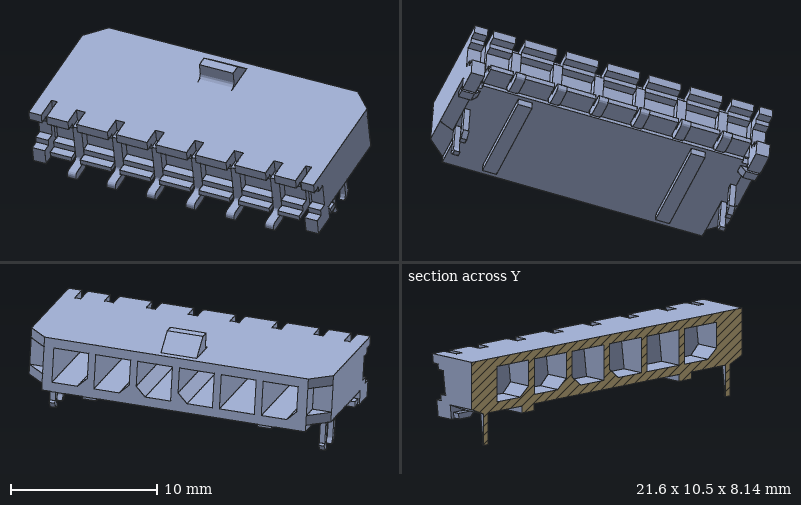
import cadquery as cq

TILT = 10.0

HOUSING_WIDTH = 21.64
HOUSING_DEPTH = 9.875
HOUSING_HEIGHT = 3.87
END_WALL_HEIGHT = 3.38
CORNER_CHAMFER = 1.37
HALF_WIDTH = HOUSING_WIDTH / 2
CORE_HALF_WIDTH = HALF_WIDTH - CORNER_CHAMFER

NOTCH_TOP = -0.71
NOTCH_HEIGHT = 1.96
NOTCH_BOTTOM = NOTCH_TOP - NOTCH_HEIGHT
NOTCH_DEPTH = 1.4

LIP_THICKNESS = 0.68
STEP_DEPTH = 0.62
RECESS_TOP = -1.06
RECESS_BOTTOM = -2.78
RECESS_DEPTH = 1.25
LEDGE_TOP = -3.22
LEDGE_BOTTOM = -3.6
LEDGE_DEPTH = 1.5

CIRCUITS = 6
PITCH = 3.0
PIN_X = [(i - (CIRCUITS - 1) / 2) * PITCH for i in range(CIRCUITS)]

CAVITY_SIZE = 2.5
CAVITY_DEPTH = 7.5
CAVITY_CENTRE = -1.93
CAVITY_CHAMFER = 0.68
CAVITY_KEYS = ["left", None, "right", "right", "left", "left"]

PIN_SIZE = 0.66
PIN_TOP = -0.92
PIN_FRONT = 0.6
PIN_BEND_RADIUS = 0.28
TAIL_TIP = -0.86
TAIL_TOP = -3.82
PIN_SLOT_DEPTH = 1.35

CLIP_THICKNESS = 0.41
CLIP_INNER_X = CORE_HALF_WIDTH
CLIP_OUTER_X = CLIP_INNER_X + CLIP_THICKNESS
CLIP_SLOT_DEPTH = 1.65
CLIP_TAB_DEPTH = 0.67
CLIP_TAB_START = 2.09
CLIP_TAB_THICKNESS = 0.41
CLIP_TAB_REACH = 0.92

FRONT_LEG_TOE_FACE = 4.54
REAR_LEG_TOE_FACE = 6.01
LEG_WIDTH = 0.4
LEG_BOTTOM = -6.425
SOLE_INSET = 0.14
BARB_REACH = 0.14
BARB_RISE = 0.14
BARB_TIP_Z = -5.965
TOE_REACH = 0.24
TOE_TIP_Z = -6.41
TOE_CURVE_TOP = -5.85
TOE_CURVE_INSET = 0.06
TOE_CURVE_Z = -6.14

LUG_DEPTH = 1.8
LUG_BOTTOM = -4.41
SKIRT_END = 6.55

RIB_WIDTH = 1.02
RIB_X = 6.28
RIB_FRONT = LUG_DEPTH
RIB_REAR = 9.05
RIB_BOTTOM = -4.36

LATCH_WIDTH = 2.56
LATCH_HEIGHT = 1.185
LATCH_REAR = 9.34
LATCH_CREST_REAR = 8.1
LATCH_CREST_FRONT = 7.38
LATCH_FILLET = 0.45


def block(x0, x1, y0, y1, z0, z1):
    """Box between two opposite corners."""
    return cq.Workplane("XY").box(x1 - x0, y1 - y0, z1 - z0, centered=False).translate((x0, y0, z0))


def side_extrusion(sketch, x0, x1):
    """Closed YZ outline extruded from x0 to x1."""
    return sketch.close().extrude(x1 - x0).translate((x0, 0, 0))


def both_ends(shape):
    """The shape and its mirror image at the other end."""
    return shape.union(shape.mirror("YZ"))


def housing_body():
    plan = [
        (-HALF_WIDTH, 0),
        (HALF_WIDTH, 0),
        (HALF_WIDTH, HOUSING_DEPTH - CORNER_CHAMFER),
        (CORE_HALF_WIDTH, HOUSING_DEPTH),
        (-CORE_HALF_WIDTH, HOUSING_DEPTH),
        (-HALF_WIDTH, HOUSING_DEPTH - CORNER_CHAMFER),
    ]
    upper = cq.Workplane("XY").polyline(plan).close().extrude(-END_WALL_HEIGHT)
    core = block(-CORE_HALF_WIDTH, CORE_HALF_WIDTH, 0, HOUSING_DEPTH, -HOUSING_HEIGHT, -END_WALL_HEIGHT)
    under_ledge = block(-CORE_HALF_WIDTH, CORE_HALF_WIDTH, 0, LEDGE_DEPTH, -HOUSING_HEIGHT, LEDGE_BOTTOM)
    return upper.union(core).cut(under_ledge).cut(front_steps()).cut(corner_notches())


def front_steps():
    """Steps and full-width recess cut into the front, below the top lip and above the ledge."""
    outline = [
        (0, -LIP_THICKNESS),
        (STEP_DEPTH, -LIP_THICKNESS),
        (STEP_DEPTH, RECESS_TOP),
        (RECESS_DEPTH, RECESS_TOP),
        (RECESS_DEPTH, RECESS_BOTTOM),
        (STEP_DEPTH, RECESS_BOTTOM),
        (STEP_DEPTH, LEDGE_TOP),
        (0, LEDGE_TOP),
    ]
    return side_extrusion(cq.Workplane("YZ").polyline(outline), -HALF_WIDTH, HALF_WIDTH)


def corner_notches():
    notch_front = HOUSING_DEPTH - NOTCH_DEPTH
    return both_ends(
        block(CORE_HALF_WIDTH, HALF_WIDTH, notch_front, HOUSING_DEPTH, NOTCH_BOTTOM, NOTCH_TOP)
    )


def end_feet():
    """Lug and sloped skirt under each end wall."""
    lug = block(CLIP_OUTER_X, HALF_WIDTH, 0, LUG_DEPTH, LUG_BOTTOM, LEDGE_TOP)
    skirt_outline = [
        (CLIP_INNER_X, -END_WALL_HEIGHT),
        (HALF_WIDTH, -END_WALL_HEIGHT),
        (CLIP_OUTER_X, -HOUSING_HEIGHT),
        (CLIP_INNER_X, -HOUSING_HEIGHT),
    ]
    skirt = cq.Workplane("XZ").polyline(skirt_outline).close().extrude(LUG_DEPTH - SKIRT_END)
    skirt = skirt.translate((0, LUG_DEPTH, 0))
    return both_ends(lug.union(skirt))


def standoff_ribs():
    half = RIB_WIDTH / 2
    return both_ends(block(RIB_X - half, RIB_X + half, RIB_FRONT, RIB_REAR, RIB_BOTTOM, -HOUSING_HEIGHT))


def latch():
    sketch = (
        cq.Workplane("YZ")
        .moveTo(LATCH_REAR, 0)
        .lineTo(LATCH_CREST_REAR, LATCH_HEIGHT)
        .lineTo(LATCH_CREST_FRONT, LATCH_HEIGHT)
        .lineTo(LATCH_CREST_FRONT, LATCH_FILLET)
        .radiusArc((LATCH_CREST_FRONT - LATCH_FILLET, 0), LATCH_FILLET)
    )
    return side_extrusion(sketch, -LATCH_WIDTH / 2, LATCH_WIDTH / 2)


def cavity(x, key):
    half = CAVITY_SIZE / 2
    z0 = CAVITY_CENTRE - half
    pocket = block(
        x - half, x + half, HOUSING_DEPTH - CAVITY_DEPTH, HOUSING_DEPTH, z0, CAVITY_CENTRE + half
    )
    if key == "left":
        return pocket.edges("<X and <Z").chamfer(CAVITY_CHAMFER)
    if key == "right":
        return pocket.edges(">X and <Z").chamfer(CAVITY_CHAMFER)
    return pocket


def pin_slot(x):
    half = PIN_SIZE / 2
    return block(x - half, x + half, 0, PIN_SLOT_DEPTH, -HOUSING_HEIGHT, 0)


def pin(x):
    half = PIN_SIZE / 2
    tail_bottom = TAIL_TOP - PIN_SIZE
    outer_radius = PIN_BEND_RADIUS + PIN_SIZE
    bend_y = PIN_FRONT - PIN_BEND_RADIUS
    bend_z = TAIL_TOP + PIN_BEND_RADIUS
    tip_y = TAIL_TIP + half
    sketch = (
        cq.Workplane("YZ")
        .moveTo(PIN_SLOT_DEPTH, PIN_TOP)
        .lineTo(PIN_FRONT, PIN_TOP)
        .lineTo(PIN_FRONT, bend_z)
        .radiusArc((bend_y, TAIL_TOP), PIN_BEND_RADIUS)
        .lineTo(tip_y, TAIL_TOP)
        .threePointArc((TAIL_TIP, TAIL_TOP - half), (tip_y, tail_bottom))
        .lineTo(bend_y, tail_bottom)
        .radiusArc((PIN_FRONT + PIN_SIZE, bend_z), -outer_radius)
        .lineTo(PIN_SLOT_DEPTH, bend_z)
    )
    return side_extrusion(sketch, x - half, x + half)


def clip_leg(toe_face_y, barb_direction):
    """Leg of a clip with a barb on one face and a curved toe on the other."""
    barb_face_y = toe_face_y + barb_direction * LEG_WIDTH
    toe_tip_y = toe_face_y - barb_direction * TOE_REACH
    toe_curve_y = toe_face_y - barb_direction * TOE_CURVE_INSET
    sketch = (
        cq.Workplane("YZ")
        .moveTo(barb_face_y, -HOUSING_HEIGHT)
        .lineTo(barb_face_y, BARB_TIP_Z + BARB_RISE)
        .lineTo(barb_face_y + barb_direction * BARB_REACH, BARB_TIP_Z)
        .lineTo(toe_face_y + barb_direction * SOLE_INSET, LEG_BOTTOM)
        .lineTo(toe_tip_y, TOE_TIP_Z)
        .threePointArc((toe_curve_y, TOE_CURVE_Z), (toe_face_y, TOE_CURVE_TOP))
        .lineTo(toe_face_y, -HOUSING_HEIGHT)
    )
    return side_extrusion(sketch, CLIP_INNER_X, CLIP_OUTER_X)


def clips():
    """Two barbed legs and a side tab of each holding clip."""
    tab_bottom = -HOUSING_HEIGHT - CLIP_TAB_THICKNESS
    tab_outline = [
        (CLIP_INNER_X, -HOUSING_HEIGHT),
        (CLIP_OUTER_X + CLIP_TAB_REACH, -HOUSING_HEIGHT),
        (CLIP_OUTER_X + CLIP_TAB_REACH, tab_bottom),
        (CLIP_INNER_X + CLIP_TAB_THICKNESS, tab_bottom),
    ]
    tab = cq.Workplane("XZ").polyline(tab_outline).close().extrude(-CLIP_TAB_DEPTH)
    tab = tab.translate((0, CLIP_TAB_START, 0))
    front_leg = clip_leg(FRONT_LEG_TOE_FACE, -1)
    rear_leg = clip_leg(REAR_LEG_TOE_FACE, 1)
    return both_ends(front_leg.union(rear_leg).union(tab))


def clip_slots():
    return both_ends(block(CLIP_INNER_X, CLIP_OUTER_X, 0, CLIP_SLOT_DEPTH, LUG_BOTTOM, 0))


part = housing_body().union(end_feet()).union(standoff_ribs()).union(latch()).cut(clip_slots())
for pin_x, cavity_key in zip(PIN_X, CAVITY_KEYS):
    part = part.cut(cavity(pin_x, cavity_key)).cut(pin_slot(pin_x)).union(pin(pin_x))
part = part.union(clips())

result = part.rotate((0, 0, 0), (1, 0, 0), TILT)